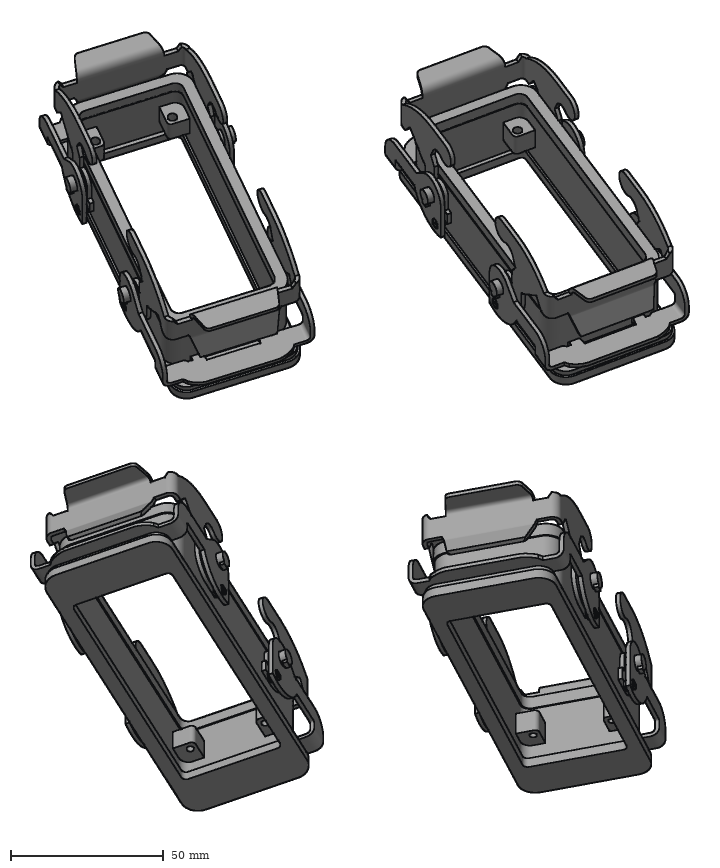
import cadquery as cq
import math

FLANGE_LENGTH = 115.4
FLANGE_WIDTH = 45.4
FLANGE_CORNER = 6.0
FLANGE_HEIGHT = 3.5
STEP_INSET = 0.8
STEP_TOP = 5.4
BODY_LENGTH = 94.6
BODY_WIDTH = FLANGE_WIDTH - 2 * STEP_INSET
BODY_CORNER = 6.0
LIP_BOTTOM = 24.2
LIP_TOP = 28.8
LIP_LENGTH = 95.5
LIP_WIDTH = 44.3
MOUTH_LENGTH = 88.0
MOUTH_WIDTH = 36.4
MOUTH_CORNER = 3.0
UNDERCUT = 0.4
FLOOR_LENGTH = 85.8
FLOOR_WIDTH = 35.6
FLOOR_CORNER = 1.7

BOSS_INNER_X = 36.4
BOSS_INNER_Y = 11.0
BOSS_BOTTOM = 9.5
BOSS_TOP = 17.5
BOSS_CORNER = 1.5
SCREW_X = 39.0
SCREW_Y = 13.5
SCREW_TOP_DIAMETER = 3.1
SCREW_BOTTOM_DIAMETER = 2.4

PIN_X = 24.1
PIN_Z = 19.7
PIN_DIAMETER = 5.3
PIN_END = 29.0
KEY_WIDTH = 2.5
KEY_REACH = 3.6
KEY_LENGTH = 1.7

SHEET = 1.5
BEND_OUTER = 3.0
BEND_INNER = BEND_OUTER - SHEET

HOOK_INNER_Y = LIP_WIDTH / 2
HOOK_OUTER_Y = HOOK_INNER_Y + SHEET
HOOK_TOP = 45.0
HOOK_BACK_START_X = -28.9
TIP_RADIUS = 4.35
TIP_X = -19.8
TIP_Z = HOOK_TOP - TIP_RADIUS
NOTCH_X = -24.2
NOTCH_Z = 33.4
NOTCH_START_ANGLE = 158
CHIN = (-29.5, 31.7)
NECK_X = -27.1
NECK_TOP = 28.4

WALL_OUTER_X = -52.4
WALL_INNER_X = WALL_OUTER_X + SHEET
WALL_BOTTOM = 27.4
WALL_TOP = 35.4
WALL_TOP_HALF = 20.1
SHOULDER_Z = 37.4
SHOULDER_HALF = 21.4

HEEL_X = -47.4
VEE_LEFT = (-44.7, 31.1)
VEE_PEAK = (-44.15, 31.5)
VEE_RIGHT = (-43.55, 31.3)
HUB_CORNER_START = (-34.8, 24.2)
HUB_CORNER_MIDDLE = (-33.9, 23.9)
HUB_CORNER_END_Z = 23.1
HUB_LEFT_X = -33.5
HUB_RIGHT_X = -18.0
HUB_BOTTOM = 10.0
HUB_HEEL_TOP = 14.5
HUB_LOWER_RADIUS = 8.4
HUB_UPPER_RADIUS = 4.1

HANDLE_END_X = -59.985
HANDLE_TOP = 38.6
HANDLE_ROOT_HALF = 15.3
HANDLE_BEND_HALF = 14.5
HANDLE_END_HALF = 12.8
HANDLE_CORNER = 2.0

TONGUE_BEND_START = 26.2
TONGUE_ANGLE = 26.0
TONGUE_TIP_Z = 17.8
TONGUE_ROOT_HALF = 16.3
TONGUE_BEND_HALF = 15.7
TONGUE_TIP_HALF = 13.3
TONGUE_CORNER = 1.5

BRACKET_OUTER_Y = 26.6
BRACKET_INNER_Y = BRACKET_OUTER_Y - SHEET
BRACKET_RIGHT_X = -17.0
BRACKET_HEAD_TOP = 27.1
BRACKET_HEAD_RADIUS = BRACKET_RIGHT_X + PIN_X
BRACKET_HEAD_Z = BRACKET_HEAD_TOP - BRACKET_HEAD_RADIUS
HEAD_TANGENT_ANGLE = 129
BELLY_RIGHT_Z = 6.0
BELLY_MIDDLE = (-29.4, 7.15)
BELLY_LEFT_X = -35.6
ARM_TOP = 20.9
ARM_BOTTOM = 14.0
ARM_TOP_END_X = -33.8
ARM_LEFT_X = -55.9
ARM_RIGHT_X = -48.9
ARM_OUTER_CORNER = 7.0
ARM_INNER_CORNER = 0.7

BASE_BOTTOM = 7.9
BASE_TOP = BASE_BOTTOM + SHEET
BASE_END_X = -59.6
BASE_END_HALF = 12.9
BASE_EDGE_MIDDLE = (-58.7, 16.0)
BASE_EDGE_CORNER = (-57.3, 18.4)
BASE_EDGE_NECK_Y = 19.5
BASE_INNER_X = -51.4
RELIEF_X = -49.8
RELIEF_END_Y = 15.4
RELIEF_MOUTH_Y = 16.3
TAB_INNER_Y = 9.8
TAB_ROOT_Y = 9.4
TAB_OUTER_Y = 13.8
TAB_END_X = -47.6
TAB_BOTTOM = 6.8
TAB_SHEET = 1.2

RIVET_X = -20.95
RIVET_Z = 9.0
RIVET_RADIUS = 1.75
RIVET_RECESS = 0.5
RIVET_RIB_LENGTH = 2.8
RIVET_RIB_HEIGHT = 1.7
RIVET_RIB_PROUD = 0.35

DIAGONAL = math.sqrt(0.5)


def rounded_block(length, width, corner, bottom, top):
    block = cq.Workplane("XY").box(length, width, top - bottom, centered=(True, True, False))
    return block.edges("|Z").fillet(corner).translate((0, 0, bottom))


def cylinder_along_y(x, z, radius, y_start, y_end):
    return (
        cq.Workplane("XZ", origin=(x, y_start, z))
        .circle(radius)
        .extrude(y_start - y_end)
    )


def both_sides(shape):
    return shape.union(shape.mirror("XZ"))


def make_housing():
    shell = rounded_block(FLANGE_LENGTH, FLANGE_WIDTH, FLANGE_CORNER, 0, FLANGE_HEIGHT)
    shell = shell.union(rounded_block(
        FLANGE_LENGTH - 2 * STEP_INSET, BODY_WIDTH, FLANGE_CORNER - STEP_INSET, FLANGE_HEIGHT, STEP_TOP))
    shell = shell.union(rounded_block(BODY_LENGTH, BODY_WIDTH, BODY_CORNER, STEP_TOP, LIP_BOTTOM))
    shell = shell.union(rounded_block(LIP_LENGTH, LIP_WIDTH, BODY_CORNER, LIP_BOTTOM, LIP_TOP))

    cavity_length = MOUTH_LENGTH + 2 * UNDERCUT
    cavity_width = MOUTH_WIDTH + 2 * UNDERCUT
    cavity_corner = MOUTH_CORNER + UNDERCUT
    shell = shell.cut(rounded_block(FLOOR_LENGTH, FLOOR_WIDTH, FLOOR_CORNER, 0, FLANGE_HEIGHT))
    shell = shell.cut(rounded_block(cavity_length, cavity_width, cavity_corner, FLANGE_HEIGHT, LIP_BOTTOM))
    shell = shell.cut(rounded_block(MOUTH_LENGTH, MOUTH_WIDTH, MOUTH_CORNER, LIP_BOTTOM, LIP_TOP))

    for side_x in (-1, 1):
        for side_y in (-1, 1):
            shell = shell.union(screw_boss(side_x, side_y)).union(keyed_pin(side_x, side_y))
    return shell


def screw_boss(side_x, side_y):
    boss_height = BOSS_TOP - BOSS_BOTTOM
    outer_x = (MOUTH_LENGTH + BODY_LENGTH) / 4
    outer_y = (MOUTH_WIDTH + BODY_WIDTH) / 4
    filled_corner = rounded_block(2 * outer_x, 2 * outer_y, MOUTH_CORNER, BOSS_BOTTOM, BOSS_TOP)
    block = (
        cq.Workplane("XY", origin=(0, 0, BOSS_BOTTOM))
        .moveTo((BOSS_INNER_X + outer_x) / 2, (BOSS_INNER_Y + outer_y) / 2)
        .rect(outer_x - BOSS_INNER_X, outer_y - BOSS_INNER_Y)
        .extrude(boss_height)
        .edges("|Z and <X and <Y").fillet(BOSS_CORNER)
        .intersect(filled_corner)
    )
    narrowing = (SCREW_TOP_DIAMETER - SCREW_BOTTOM_DIAMETER) / 2
    screw_hole = (
        cq.Workplane("XY", origin=(SCREW_X, SCREW_Y, BOSS_BOTTOM))
        .circle(SCREW_BOTTOM_DIAMETER / 2)
        .extrude(boss_height, taper=-math.degrees(math.atan(narrowing / boss_height)))
    )
    return place_in_quadrant(block.cut(screw_hole), side_x, side_y)


def keyed_pin(side_x, side_y):
    root_y = (MOUTH_WIDTH + BODY_WIDTH) / 4
    pin = cylinder_along_y(PIN_X, PIN_Z, PIN_DIAMETER / 2, root_y, PIN_END)
    key = cq.Workplane("XY").box(KEY_WIDTH, KEY_LENGTH, KEY_REACH)
    key = key.translate((PIN_X, PIN_END - KEY_LENGTH / 2, PIN_Z - KEY_REACH / 2))
    return place_in_quadrant(pin.union(key), side_x, side_y)


def place_in_quadrant(shape, side_x, side_y):
    if side_x < 0:
        shape = shape.mirror("YZ")
    if side_y < 0:
        shape = shape.mirror("XZ")
    return shape


def hook_side_outline():
    between_centres = math.hypot(NOTCH_X - TIP_X, NOTCH_Z - TIP_Z)
    notch_radius = between_centres - TIP_RADIUS
    join_x = TIP_X + (NOTCH_X - TIP_X) * TIP_RADIUS / between_centres
    join_z = TIP_Z + (NOTCH_Z - TIP_Z) * TIP_RADIUS / between_centres
    notch_start = math.radians(NOTCH_START_ANGLE)
    notch_start_x = NOTCH_X + notch_radius * math.cos(notch_start)
    notch_start_z = NOTCH_Z + notch_radius * math.sin(notch_start)
    neck_bottom = PIN_Z + math.sqrt(HUB_UPPER_RADIUS**2 - (NECK_X + PIN_X) ** 2)
    hub_arc_inset = HUB_LOWER_RADIUS * (1 - DIAGONAL)
    return (
        cq.Workplane("XZ")
        .moveTo(WALL_OUTER_X, WALL_BOTTOM)
        .lineTo(HEEL_X, WALL_BOTTOM)
        .lineTo(*VEE_LEFT)
        .threePointArc(VEE_PEAK, VEE_RIGHT)
        .lineTo(*HUB_CORNER_START)
        .threePointArc(HUB_CORNER_MIDDLE, (HUB_LEFT_X, HUB_CORNER_END_Z))
        .lineTo(HUB_LEFT_X, HUB_BOTTOM + HUB_LOWER_RADIUS)
        .threePointArc(
            (HUB_LEFT_X + hub_arc_inset, HUB_BOTTOM + hub_arc_inset),
            (HUB_LEFT_X + HUB_LOWER_RADIUS, HUB_BOTTOM))
        .lineTo(HUB_RIGHT_X, HUB_BOTTOM)
        .lineTo(HUB_RIGHT_X, HUB_HEEL_TOP)
        .lineTo(-PIN_X + HUB_UPPER_RADIUS, HUB_HEEL_TOP)
        .lineTo(-PIN_X + HUB_UPPER_RADIUS, PIN_Z)
        .threePointArc((-PIN_X, PIN_Z + HUB_UPPER_RADIUS), (NECK_X, neck_bottom))
        .lineTo(NECK_X, NECK_TOP)
        .lineTo(*CHIN)
        .lineTo(notch_start_x, notch_start_z)
        .threePointArc((NOTCH_X, NOTCH_Z + notch_radius), (join_x, join_z))
        .threePointArc((TIP_X + TIP_RADIUS, TIP_Z), (TIP_X, HOOK_TOP))
        .lineTo(HOOK_BACK_START_X, HOOK_TOP)
        .tangentArcPoint((WALL_OUTER_X + BEND_OUTER, SHOULDER_Z), relative=False)
        .lineTo(WALL_OUTER_X, SHOULDER_Z)
        .close()
    )


def hook_block(left_x, half_width, bend_radius):
    length = TIP_X + TIP_RADIUS - WALL_OUTER_X
    block = cq.Workplane("XY").box(
        length, 2 * half_width, HOOK_TOP - HUB_BOTTOM, centered=(False, True, False))
    return block.edges("|Z and <X").fillet(bend_radius).translate((left_x, 0, HUB_BOTTOM))


def make_hook():
    channel = hook_block(WALL_OUTER_X, HOOK_OUTER_Y, BEND_OUTER)
    channel = channel.cut(hook_block(WALL_INNER_X, HOOK_INNER_Y, BEND_INNER))
    side = hook_side_outline().extrude(HOOK_OUTER_Y, both=True)
    wall_top_gap = (
        cq.Workplane("YZ", origin=(WALL_OUTER_X, 0, 0))
        .polyline([
            (-WALL_TOP_HALF, WALL_TOP), (WALL_TOP_HALF, WALL_TOP),
            (SHOULDER_HALF, SHOULDER_Z), (-SHOULDER_HALF, SHOULDER_Z)])
        .close()
        .extrude(BEND_OUTER)
    )
    hook = channel.intersect(side).cut(wall_top_gap)
    return hook.union(make_handle()).union(make_tongue())


def make_handle():
    bend_z = HANDLE_TOP - BEND_OUTER
    bend_x = WALL_OUTER_X - BEND_INNER
    strip = (
        cq.Workplane("XZ")
        .moveTo(WALL_INNER_X, WALL_TOP - SHEET)
        .lineTo(WALL_INNER_X, bend_z)
        .radiusArc((bend_x, HANDLE_TOP), -BEND_OUTER)
        .lineTo(HANDLE_END_X, HANDLE_TOP)
        .lineTo(HANDLE_END_X, HANDLE_TOP - SHEET)
        .lineTo(bend_x, HANDLE_TOP - SHEET)
        .radiusArc((WALL_OUTER_X, bend_z), BEND_INNER)
        .lineTo(WALL_OUTER_X, WALL_TOP - SHEET)
        .close()
        .extrude(HANDLE_ROOT_HALF, both=True)
    )
    plan = (
        cq.Workplane("XY", origin=(0, 0, WALL_TOP - SHEET))
        .polyline([
            (WALL_INNER_X, -HANDLE_ROOT_HALF), (WALL_INNER_X, HANDLE_ROOT_HALF),
            (bend_x, HANDLE_BEND_HALF), (HANDLE_END_X, HANDLE_END_HALF),
            (HANDLE_END_X, -HANDLE_END_HALF), (bend_x, -HANDLE_BEND_HALF)])
        .close()
        .extrude(HANDLE_TOP)
        .edges("|Z and <X").fillet(HANDLE_CORNER)
    )
    return strip.intersect(plan)


def make_tongue():
    angle = math.radians(TONGUE_ANGLE)
    axis_x = WALL_OUTER_X - BEND_INNER
    bend_end_z = TONGUE_BEND_START - BEND_OUTER * math.sin(angle)
    front_end_x = axis_x + BEND_INNER * math.cos(angle)
    front_end_z = TONGUE_BEND_START - BEND_INNER * math.sin(angle)
    back_end_x = axis_x + BEND_OUTER * math.cos(angle)
    back_tip_x = back_end_x - (bend_end_z - TONGUE_TIP_Z) * math.tan(angle)
    front_tip_x = back_tip_x - SHEET * math.cos(angle)
    front_tip_z = TONGUE_TIP_Z + SHEET * math.sin(angle)
    strip = (
        cq.Workplane("XZ")
        .moveTo(WALL_INNER_X, WALL_BOTTOM)
        .lineTo(WALL_INNER_X, TONGUE_BEND_START)
        .radiusArc((back_end_x, bend_end_z), BEND_OUTER)
        .lineTo(back_tip_x, TONGUE_TIP_Z)
        .lineTo(front_tip_x, front_tip_z)
        .lineTo(front_end_x, front_end_z)
        .radiusArc((WALL_OUTER_X, TONGUE_BEND_START), -BEND_INNER)
        .lineTo(WALL_OUTER_X, WALL_BOTTOM)
        .close()
        .extrude(TONGUE_ROOT_HALF, both=True)
    )
    face = (
        cq.Workplane("YZ", origin=(front_tip_x, 0, 0))
        .polyline([
            (-TONGUE_ROOT_HALF, WALL_BOTTOM), (TONGUE_ROOT_HALF, WALL_BOTTOM),
            (TONGUE_BEND_HALF, TONGUE_BEND_START), (TONGUE_TIP_HALF, TONGUE_TIP_Z),
            (-TONGUE_TIP_HALF, TONGUE_TIP_Z), (-TONGUE_BEND_HALF, TONGUE_BEND_START)])
        .close()
        .extrude(WALL_INNER_X - front_tip_x)
        .edges("|X and <Z").fillet(TONGUE_CORNER)
    )
    return strip.intersect(face)


def bracket_plate():
    tangent = math.radians(HEAD_TANGENT_ANGLE)
    tangent_x = -PIN_X + BRACKET_HEAD_RADIUS * math.cos(tangent)
    tangent_z = BRACKET_HEAD_Z + BRACKET_HEAD_RADIUS * math.sin(tangent)
    bend_z = BASE_BOTTOM + BEND_OUTER
    return (
        cq.Workplane("XZ", origin=(0, BRACKET_OUTER_Y, 0))
        .moveTo(ARM_LEFT_X, bend_z)
        .lineTo(ARM_LEFT_X, ARM_TOP - ARM_OUTER_CORNER)
        .radiusArc((ARM_LEFT_X + ARM_OUTER_CORNER, ARM_TOP), ARM_OUTER_CORNER)
        .lineTo(ARM_TOP_END_X, ARM_TOP)
        .lineTo(tangent_x, tangent_z)
        .threePointArc((-PIN_X, BRACKET_HEAD_TOP), (BRACKET_RIGHT_X, BRACKET_HEAD_Z))
        .lineTo(BRACKET_RIGHT_X, BELLY_RIGHT_Z)
        .threePointArc(BELLY_MIDDLE, (BELLY_LEFT_X, ARM_BOTTOM))
        .lineTo(ARM_RIGHT_X + ARM_INNER_CORNER, ARM_BOTTOM)
        .radiusArc((ARM_RIGHT_X, ARM_BOTTOM - ARM_INNER_CORNER), -ARM_INNER_CORNER)
        .lineTo(ARM_RIGHT_X, bend_z)
        .close()
        .extrude(SHEET)
    )


def bracket_bend():
    axis_y = BRACKET_OUTER_Y - BEND_OUTER
    axis_z = BASE_BOTTOM + BEND_OUTER
    return (
        cq.Workplane("YZ", origin=(ARM_LEFT_X, 0, 0))
        .moveTo(axis_y, BASE_BOTTOM)
        .radiusArc((BRACKET_OUTER_Y, axis_z), -BEND_OUTER)
        .lineTo(BRACKET_INNER_Y, axis_z)
        .radiusArc((axis_y, BASE_TOP), BEND_INNER)
        .close()
        .extrude(ARM_RIGHT_X - ARM_LEFT_X)
    )


def bracket_base_half():
    side_y = BRACKET_OUTER_Y - BEND_OUTER
    return (
        cq.Workplane("XY", origin=(0, 0, BASE_BOTTOM))
        .moveTo(BASE_END_X, 0)
        .lineTo(BASE_END_X, BASE_END_HALF)
        .threePointArc(BASE_EDGE_MIDDLE, BASE_EDGE_CORNER)
        .lineTo(ARM_LEFT_X, BASE_EDGE_NECK_Y)
        .lineTo(ARM_LEFT_X, side_y)
        .lineTo(ARM_RIGHT_X, side_y)
        .lineTo(ARM_RIGHT_X, RELIEF_MOUTH_Y)
        .lineTo(RELIEF_X, RELIEF_END_Y)
        .lineTo(RELIEF_X, TAB_OUTER_Y)
        .lineTo(ARM_RIGHT_X, TAB_OUTER_Y)
        .lineTo(ARM_RIGHT_X, TAB_INNER_Y)
        .lineTo(BASE_INNER_X, TAB_ROOT_Y)
        .lineTo(BASE_INNER_X, 0)
        .close()
        .extrude(SHEET)
    )


def bracket_tab():
    bend_radius = TAB_END_X - ARM_RIGHT_X
    return (
        cq.Workplane("XZ", origin=(0, TAB_OUTER_Y, 0))
        .moveTo(ARM_RIGHT_X, BASE_TOP)
        .radiusArc((TAB_END_X, BASE_TOP - bend_radius), bend_radius)
        .lineTo(TAB_END_X, TAB_BOTTOM)
        .lineTo(TAB_END_X - TAB_SHEET, TAB_BOTTOM)
        .lineTo(TAB_END_X - TAB_SHEET, BASE_BOTTOM)
        .lineTo(ARM_RIGHT_X, BASE_BOTTOM)
        .close()
        .extrude(TAB_OUTER_Y - TAB_INNER_Y)
    )


def add_rivet(bracket):
    recess_y = BRACKET_OUTER_Y - RIVET_RECESS
    rib_length_y = RIVET_RECESS + RIVET_RIB_PROUD
    shank = cylinder_along_y(RIVET_X, RIVET_Z, RIVET_RADIUS, HOOK_OUTER_Y, BRACKET_INNER_Y)
    below_base = cq.Workplane("XY").box(
        2 * RIVET_RADIUS, 2 * BRACKET_INNER_Y, BASE_BOTTOM, centered=(True, True, False))
    shank = shank.cut(below_base.translate((RIVET_X, 0, 0)))
    recess = cylinder_along_y(RIVET_X, RIVET_Z, RIVET_RADIUS, recess_y, BRACKET_OUTER_Y)
    rib = cq.Workplane("XY").box(RIVET_RIB_LENGTH, rib_length_y, RIVET_RIB_HEIGHT)
    rib = rib.translate((RIVET_X, recess_y + rib_length_y / 2, RIVET_Z))
    return bracket.cut(recess).union(shank).union(rib)


def make_lever(side_x):
    """The hook and the bracket joined by the rivets; side_x is -1 for the left end, 1 for the right."""
    half_bracket = bracket_plate().union(bracket_bend()).union(bracket_base_half()).union(bracket_tab())
    lever = make_hook().union(both_sides(add_rivet(half_bracket)))
    pin_hole = cylinder_along_y(-PIN_X, PIN_Z, PIN_DIAMETER / 2, -PIN_END, PIN_END)
    lever = lever.cut(pin_hole)
    return lever if side_x < 0 else lever.mirror("YZ")


housing = make_housing()
levers = [make_lever(side_x) for side_x in (-1, 1)]

result = cq.Compound.makeCompound([housing.val(), *[lever.val() for lever in levers]])